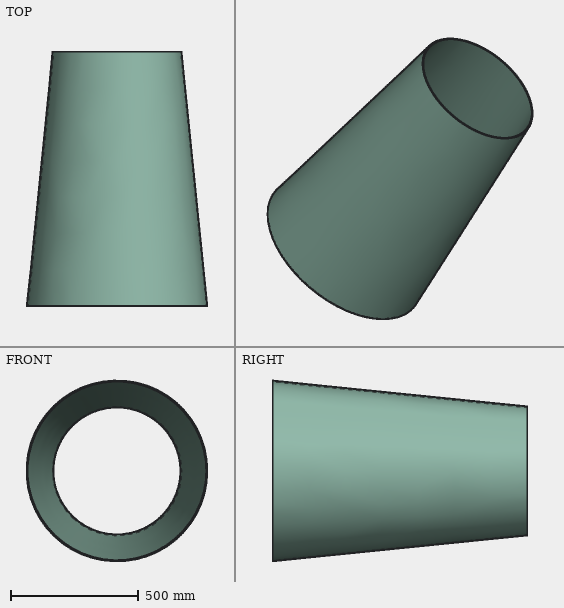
import cadquery as cq

length = 1000.0
large_diameter = 711.0
small_diameter = 508.0
wall = 5.0

large_radius = large_diameter / 2
small_radius = small_diameter / 2

wall_section = [
    (large_radius - wall, 0),
    (large_radius, 0),
    (small_radius, length),
    (small_radius - wall, length),
]

result = cq.Workplane("XY").polyline(wall_section).close().revolve(360, (0, 0), (0, 1))